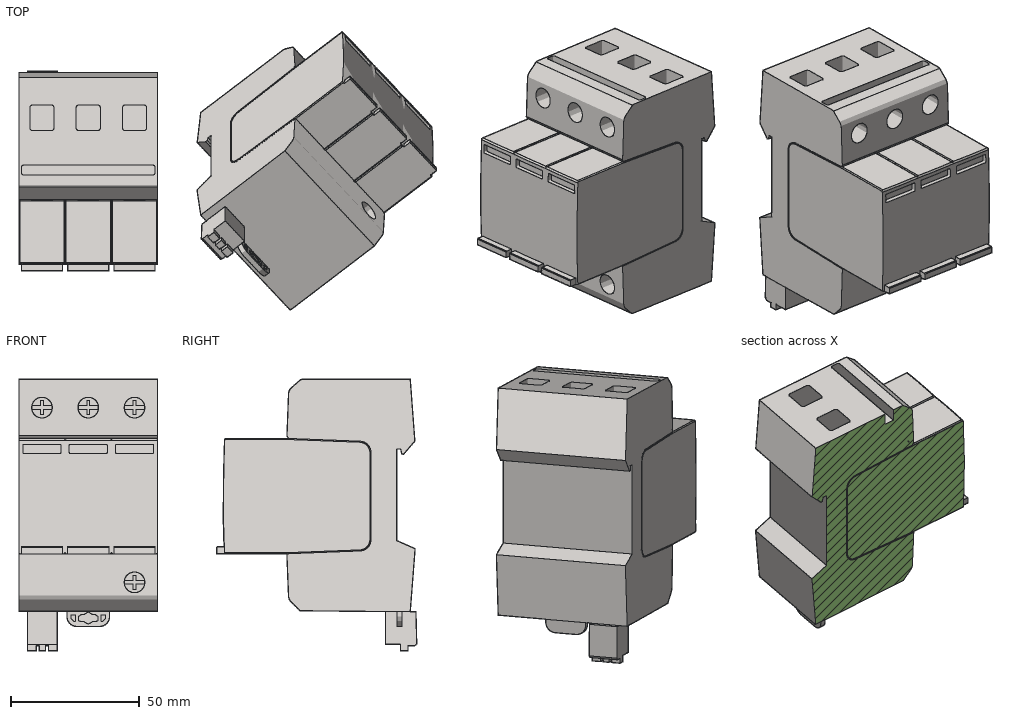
import cadquery as cq


overall_height = 105.6
width = 54.0
pole_count = 3
pole_pitch = width / pole_count
pole_centers = [(i - (pole_count - 1) / 2) * pole_pitch for i in range(pole_count)]
base_top = 90.2
back_edge_y = 5.3
front_y = -42.8
chin_z = 0.1
underside_z = -0.2
upper_shoulder_edges = [(-36.7, base_top), (-37.4, 90.0), (-38.0, 89.5), (-40.7, 87.1)]
upper_shoulder_arc = [(-41.8, 85.7), (-42.1, 83.8)]
lower_shoulder_arc = [(-42.1, 6.4), (-41.8, 4.6), (-40.7, 3.2)]
chin_y = -37.6

rail_bottom = 27.5
rail_top = 63.0
rail_foot = (7.2, 24.3)
rail_hook = [(1.5, rail_top), (1.9, 61.2), (2.6, 60.9), (7.1, 66.1)]

lip_height = 1.2
lip_depth = 0.6
lip_break_height = 0.6
lip_break_depth = 0.2

cartridge_back_y = -10.0
cartridge_kink_y = -43.1
cartridge_front_y = -67.1
crown_height = 0.5
crown_radius_across = 253.5
crown_sweep_degrees = 8.0
cartridge_bottom = 22.3
cartridge_top = 67.2
cartridge_taper = 1.3
cartridge_corner_radius = 4.4
cartridge_bevel = 0.4
front_bevel_drop = 0.8
front_bevel_depth = 0.3

tab_width = 16.1
tab_height = 2.7
tab_tip_y = -70.0
tab_bevel = 0.3
tab_root = 1.1
label_width = 14.8
label_height = 3.6
label_center_z = 63.1
label_depth = 1.7
label_radius = 0.4

screw_diameter = 8.0
screw_head_y = -29.6
screw_upper_z = 79.1
screw_lower_z = 11.2
slot_length = 7.7
slot_height = 1.5
cross_width = 1.1
cross_height = 5.5
drive_depth = 1.3

wire_width = 9.4
wire_length = 9.9
wire_center_y = -10.5
wire_depth = 15.8
wire_radius = 1.1
groove_length = 52.0
groove_width = 3.8
groove_center_y = -30.7
groove_depth = 5.3
groove_radius = 0.8

plug_left = -23.7
plug_width = 11.6
plug_front_y = -4.4
plug_top_y = 7.5
plug_back_y = 7.8
plug_bottom = -12.9
plug_rear_bottom = -13.5
plug_chamfer = 0.8
tooth_front_y = 1.4
tooth_back_y = 4.4
tooth_bottom = base_top - overall_height
tooth_gap = 1.1
tooth_gap_centers = [-19.6, -16.1]

clip_width = 16.7
clip_bottom = -6.0
clip_top = 3.2
clip_thickness = 2.1
clip_front_y = 0.0
clip_radius = 4.0
clip_recess = 0.5
half_recess = [
    (0, -0.3),
    (1.7, -1.4),
    (2.7, -1.4),
    (3.7, -2.0),
    (3.7, -3.7),
    (2.9, -4.1),
    (1.7, -4.1),
    (0, -5.1),
]
ear_recess = [(5.0, -1.6), (6.8, -1.6), (6.8, -2.7), (5.5, -4.1), (5.0, -3.9)]


def side_profile():
    """Sketch plane whose axes are Y and Z, centred on the width."""
    return cq.Workplane("YZ")


def box(x, y, z):
    """Box given as three (low, high) ranges."""
    size = [high - low for low, high in (x, y, z)]
    return cq.Workplane("XY").box(*size, centered=False).translate((x[0], y[0], z[0]))


def make_base():
    outline = [
        (plug_front_y, underside_z),
        (back_edge_y, underside_z),
        rail_foot,
        (0, rail_bottom),
        (0, rail_top),
        *rail_hook,
        (back_edge_y, base_top),
        *upper_shoulder_edges,
    ]
    return (
        side_profile()
        .polyline(outline)
        .threePointArc(*upper_shoulder_arc)
        .lineTo(front_y, cartridge_top)
        .lineTo(front_y, cartridge_bottom)
        .lineTo(*lower_shoulder_arc[0])
        .threePointArc(*lower_shoulder_arc[1:])
        .lineTo(chin_y, chin_z)
        .close()
        .extrude(width / 2, both=True)
    )


def cartridge_block(block_width):
    """Cartridge, over-long at its flat front, with a tapered, rounded back end."""
    outline = [
        (cartridge_back_y, cartridge_bottom + cartridge_taper),
        (cartridge_back_y, cartridge_top - cartridge_taper),
        (cartridge_kink_y, cartridge_top),
        (tab_tip_y, cartridge_top),
        (tab_tip_y, cartridge_bottom),
        (cartridge_kink_y, cartridge_bottom),
    ]
    block = side_profile().polyline(outline).close().extrude(block_width / 2, both=True)
    return block.edges("|X and >Y").fillet(cartridge_corner_radius)


def crowned_front():
    """Envelope of one cartridge whose front bulges both up the height and across the width."""
    middle_z = (cartridge_bottom + cartridge_top) / 2
    envelope = (
        side_profile()
        .moveTo(0, cartridge_bottom)
        .lineTo(0, cartridge_top)
        .lineTo(cartridge_front_y + front_bevel_depth, cartridge_top)
        .lineTo(cartridge_front_y, cartridge_top - front_bevel_drop)
        .threePointArc((cartridge_front_y - crown_height, middle_z), (cartridge_front_y, cartridge_bottom))
        .close()
    )
    axis_y = cartridge_front_y + crown_radius_across
    swept = envelope.revolve(crown_sweep_degrees, (axis_y, 0), (axis_y, 1))
    return swept.rotate((0, axis_y, 0), (0, axis_y, 1), -crown_sweep_degrees / 2)


def make_cartridge():
    block = cartridge_block(pole_pitch).intersect(crowned_front())
    side_edges = block.faces("<X or >X").edges()
    front_limit = cartridge_front_y + 2 * front_bevel_depth
    bevelled = side_edges.filter(lambda edge: edge.Center().y > front_limit)
    block = bevelled.chamfer(cartridge_bevel)

    tab = box(
        (-tab_width / 2, tab_width / 2),
        (tab_tip_y, cartridge_front_y + tab_root),
        (cartridge_bottom, cartridge_bottom + tab_height),
    )
    tab = tab.edges("<Y and >Z").chamfer(tab_bevel)

    label = box(
        (-label_width / 2, label_width / 2),
        (tab_tip_y, cartridge_front_y + label_depth),
        (label_center_z - label_height / 2, label_center_z + label_height / 2),
    )
    label = label.edges("|Y").fillet(label_radius)
    return block.union(tab).cut(label)


def make_lip_cut():
    """Two-facet bevel along the lip of the base above the cartridges."""
    outline = [
        (front_y, cartridge_bottom),
        (front_y, cartridge_top + lip_height),
        (front_y + lip_break_depth, cartridge_top + lip_break_height),
        (front_y + lip_depth, cartridge_top),
        (front_y + lip_depth, cartridge_bottom),
    ]
    return side_profile().polyline(outline).close().extrude(width / 2, both=True)


def make_screw_cut(x, z):
    """Screw well with a slotted cross recess in the screw head at its end."""
    drive_face = cq.Workplane("XZ", origin=(x, screw_head_y, z))
    well = drive_face.circle(screw_diameter / 2).extrude(screw_head_y - front_y)
    slot = drive_face.rect(slot_length, slot_height).extrude(-drive_depth)
    cross = drive_face.rect(cross_width, cross_height).extrude(-drive_depth)
    return well.union(slot).union(cross)


def make_top_cut(x, y, x_size, y_size, depth, radius):
    """Rounded rectangular opening sunk into the top face."""
    plane = cq.Workplane("XY", origin=(x, y, base_top))
    return plane.rect(x_size, y_size).extrude(-depth).edges("|Z").fillet(radius)


def make_plug():
    outline = [
        (plug_front_y, underside_z),
        (plug_front_y, plug_bottom),
        (tooth_front_y, plug_bottom),
        (tooth_front_y, tooth_bottom),
        (tooth_back_y, tooth_bottom),
        (tooth_back_y, plug_rear_bottom),
        (plug_back_y - plug_chamfer, plug_rear_bottom),
        (plug_back_y, plug_rear_bottom + plug_chamfer),
        (plug_top_y, underside_z),
    ]
    plug = side_profile().polyline(outline).close().extrude(plug_width).translate((plug_left, 0, 0))
    for x in tooth_gap_centers:
        gap = box(
            (x - tooth_gap / 2, x + tooth_gap / 2),
            (tooth_front_y, tooth_back_y),
            (tooth_bottom, plug_bottom),
        )
        plug = plug.cut(gap)
    return plug


def make_clip():
    clip = box(
        (-clip_width / 2, clip_width / 2),
        (clip_front_y, clip_front_y + clip_thickness),
        (clip_bottom, clip_top),
    )
    clip = clip.edges("|Y and <Z").fillet(clip_radius)

    center_recess = half_recess + [(-x, z) for x, z in reversed(half_recess[1:-1])]
    left_recess = [(-x, z) for x, z in ear_recess]
    for outline in (center_recess, ear_recess, left_recess):
        face = cq.Workplane("XZ", origin=(0, clip_front_y, 0))
        recess = face.polyline(outline).close().extrude(-clip_recess)
        clip = clip.cut(recess)
    return clip


result = make_base().cut(make_lip_cut()).cut(cartridge_block(width))
for center_x in pole_centers:
    result = result.cut(make_screw_cut(center_x, screw_upper_z))
    result = result.cut(
        make_top_cut(center_x, wire_center_y, wire_width, wire_length, wire_depth, wire_radius)
    )
result = result.cut(make_screw_cut(pole_centers[-1], screw_lower_z))
result = result.cut(
    make_top_cut(0, groove_center_y, groove_length, groove_width, groove_depth, groove_radius)
)

cartridge = make_cartridge()
for center_x in pole_centers:
    result = result.union(cartridge.translate((center_x, 0, 0)))
result = result.union(make_plug()).union(make_clip())